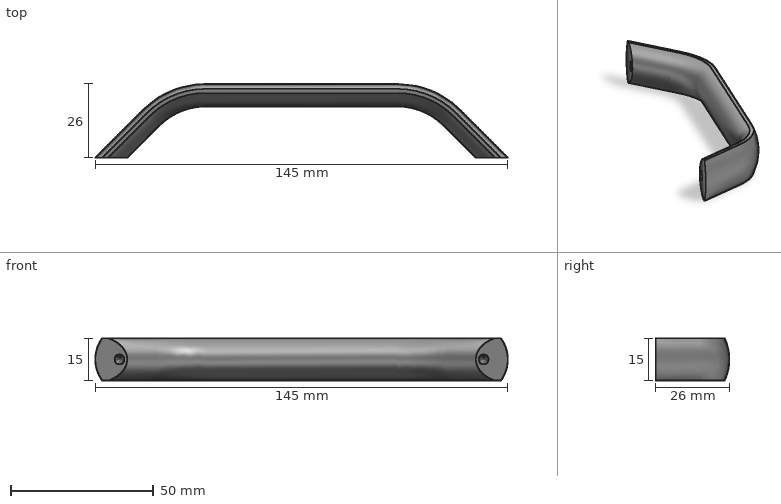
import cadquery as cq
import math

length = 145.0
height = 26.0

bar_width = 15.0
outer_crown = 1.7
side_flat = 1.5
inner_crown = 4.8
bar_thickness = outer_crown + side_flat + inner_crown

grip_length = 67.5
leg_angle = math.radians(45)

hole_diameter = 3.5
hole_spacing = 127.9
hole_depth = 4.4
drill_point_angle = math.radians(118)

overrun = bar_thickness * 2

half_length = length / 2
half_width = bar_width / 2
half_grip = grip_length / 2

leg_run = height / math.tan(leg_angle)
bend_tangent = half_length - half_grip - leg_run
bend_radius = bend_tangent / math.tan(leg_angle / 2)


def bend_point(angle):
    """Point on the right-hand bend, at an angle past the end of the grip."""
    x = half_grip + bend_radius * math.sin(angle)
    y = height - bend_radius * (1 - math.cos(angle))
    return x, y


def mirrored(point):
    return -point[0], point[1]


def make_path():
    foot_end = (half_length + overrun / math.tan(leg_angle), -overrun)
    bend_middle = bend_point(leg_angle / 2)
    bend_end = bend_point(leg_angle)
    return (
        cq.Workplane("XY")
        .moveTo(*mirrored(foot_end))
        .lineTo(*mirrored(bend_end))
        .threePointArc(mirrored(bend_middle), (-half_grip, height))
        .lineTo(half_grip, height)
        .threePointArc(bend_middle, bend_end)
        .lineTo(*foot_end)
    ), foot_end


def make_bar():
    path, foot_end = make_path()
    start_plane = cq.Plane(
        origin=(-foot_end[0], foot_end[1], 0),
        xDir=(math.sin(leg_angle), -math.cos(leg_angle), 0),
        normal=(math.cos(leg_angle), math.sin(leg_angle), 0),
    )
    flat_end = outer_crown + side_flat
    section = (
        cq.Workplane(start_plane)
        .moveTo(outer_crown, -half_width)
        .lineTo(flat_end, -half_width)
        .threePointArc((bar_thickness, 0), (flat_end, half_width))
        .lineTo(outer_crown, half_width)
        .threePointArc((0, 0), (outer_crown, -half_width))
        .close()
    )
    bar = section.sweep(path)
    below_floor = cq.Workplane("XY").box(2 * length, 4 * overrun, 2 * bar_width)
    return bar.cut(below_floor.translate((0, -2 * overrun, 0)))


def make_screw_hole(x):
    radius = hole_diameter / 2
    tip_depth = hole_depth + radius / math.tan(drill_point_angle / 2)
    profile = [(x, 0), (x + radius, 0), (x + radius, hole_depth), (x, tip_depth)]
    return cq.Workplane("XY").polyline(profile).close().revolve(360, (x, 0), (x, 1))


result = make_bar()
for side in (-1, 1):
    result = result.cut(make_screw_hole(side * hole_spacing / 2))